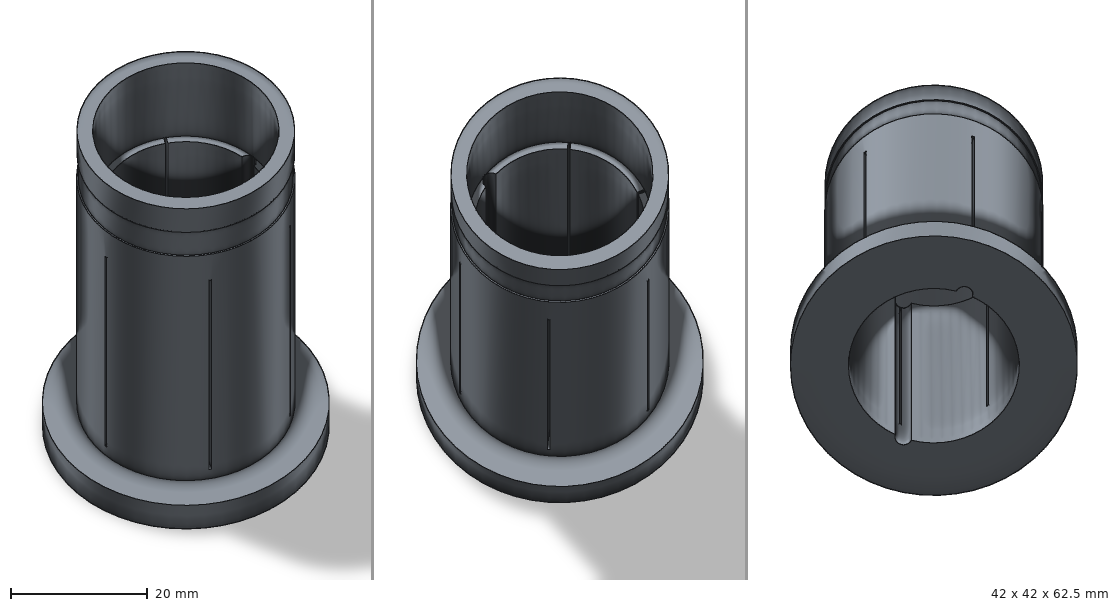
import cadquery as cq

total_height = 62.5
flange_diameter = 42.0
flange_height = 5.0
sleeve_diameter = 32.0

collar_height = 5.0
collar_diameter = 31.9
band_height = 5.0
band_diameter = 31.5

bore_diameter = 25.0
counterbore_diameter = 27.25

keyway_radius = 1.25
keyway_offset = counterbore_diameter / 2 - keyway_radius

slot_count = 6
slot_width = 0.4
slot_bottom = 7.0
slot_length = 40.0
first_slot_angle = 30.0

ledge_height = slot_bottom + slot_length


def cylinder(diameter, bottom, height):
    return cq.Workplane("XY").workplane(offset=bottom).circle(diameter / 2).extrude(height)


def make_body():
    collar_bottom = total_height - collar_height
    band_bottom = collar_bottom - band_height
    flange = cylinder(flange_diameter, 0, flange_height)
    sleeve = cylinder(sleeve_diameter, flange_height, band_bottom - flange_height)
    band = cylinder(band_diameter, band_bottom, band_height)
    collar = cylinder(collar_diameter, collar_bottom, collar_height)
    return flange.union(sleeve).union(band).union(collar)


def make_bore():
    bore = cylinder(bore_diameter, 0, total_height)
    return bore.union(cylinder(counterbore_diameter, ledge_height, total_height - ledge_height))


def make_keyways():
    return (
        cq.Workplane("XY")
        .pushPoints([(0, keyway_offset), (0, -keyway_offset)])
        .circle(keyway_radius)
        .extrude(ledge_height)
    )


def make_slot(angle):
    return (
        cq.Workplane("XY")
        .box(sleeve_diameter, slot_width, slot_length, centered=(False, True, False))
        .translate((0, 0, slot_bottom))
        .rotate((0, 0, 0), (0, 0, 1), angle)
    )


result = make_body().cut(make_bore()).cut(make_keyways())
for index in range(slot_count):
    result = result.cut(make_slot(first_slot_angle + index * 360 / slot_count))